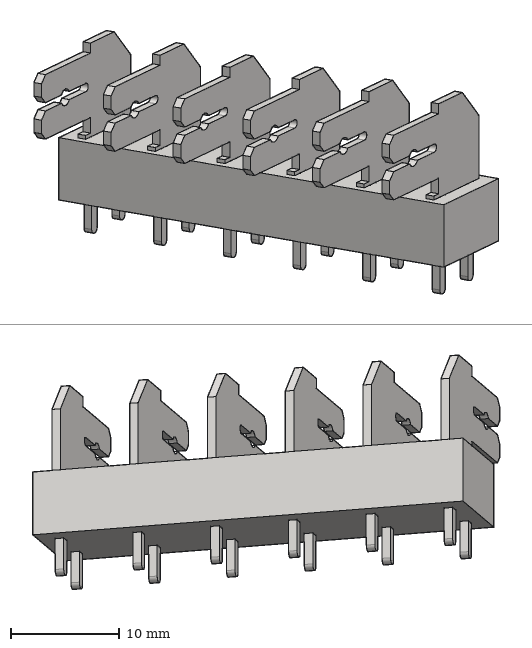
import cadquery as cq


HOUSING_LENGTH = 41.5
HOUSING_DEPTH = 9.8
HOUSING_HEIGHT = 6.0

CONTACT_COUNT = 6
CONTACT_THICKNESS = 0.85
ROW_SPAN = 37.5
CONTACT_PITCH = ROW_SPAN / (CONTACT_COUNT - 1)

OVERALL_DEPTH = 16.85
OVERALL_HEIGHT = 18.5
FORK_TIP_Y = HOUSING_DEPTH - OVERALL_DEPTH

BLADE_SETBACK = 0.87
BLADE_BACK_Y = HOUSING_DEPTH - BLADE_SETBACK
BLADE_DEPTH = 7.22
BLADE_FRONT_Y = BLADE_BACK_Y - BLADE_DEPTH
BLADE_HEIGHT = 9.05
BLADE_TOP_Z = HOUSING_HEIGHT + BLADE_HEIGHT
BLADE_CHAMFER = 3.0

FOOT_LENGTH = 0.87
FOOT_HEIGHT = 0.37

FORK_STEP = 0.95
FORK_TOP_Z = BLADE_TOP_Z - FORK_STEP
FORK_HEIGHT = 6.22
FORK_BOTTOM_Z = FORK_TOP_Z - FORK_HEIGHT
FORK_MID_Z = (FORK_TOP_Z + FORK_BOTTOM_Z) / 2
SLOT_WIDTH = 0.8
SLOT_END_SETBACK = 0.4
SLOT_END_Y = BLADE_FRONT_Y - SLOT_END_SETBACK
SLOT_RADIUS = SLOT_WIDTH / 2
SLOT_HOLE_DIAMETER = 1.58
SLOT_HOLE_Y = -2.8
PRONG_CHAMFER = 0.7

TAIL_WIDTH = 1.0
TAIL_SPACING = 5.0
FRONT_TAIL_Y = 2.4
TAIL_YS = (FRONT_TAIL_Y, FRONT_TAIL_Y + TAIL_SPACING)
TAIL_TIP_Z = BLADE_TOP_Z - OVERALL_HEIGHT
TAIL_RADIUS = TAIL_WIDTH / 2


def contact_plane(x):
    """YZ sketch plane on the -X face of the contact centred at x."""
    return cq.Workplane("YZ", origin=(x - CONTACT_THICKNESS / 2, 0, 0))


def make_blade(x):
    """Upright blade with a chamfered back corner and a low foot in front."""
    foot_top_z = HOUSING_HEIGHT + FOOT_HEIGHT
    foot_front_y = BLADE_FRONT_Y - FOOT_LENGTH
    outline = [
        (BLADE_BACK_Y, HOUSING_HEIGHT),
        (BLADE_BACK_Y, BLADE_TOP_Z - BLADE_CHAMFER),
        (BLADE_BACK_Y - BLADE_CHAMFER, BLADE_TOP_Z),
        (BLADE_FRONT_Y, BLADE_TOP_Z),
        (BLADE_FRONT_Y, foot_top_z),
        (foot_front_y, foot_top_z),
        (foot_front_y, HOUSING_HEIGHT),
    ]
    return contact_plane(x).polyline(outline).close().extrude(CONTACT_THICKNESS)


def make_fork(x):
    """Fork blank reaching forward from the blade, with chamfered outer tip corners."""
    outline = [
        (BLADE_FRONT_Y, FORK_BOTTOM_Z),
        (FORK_TIP_Y + PRONG_CHAMFER, FORK_BOTTOM_Z),
        (FORK_TIP_Y, FORK_BOTTOM_Z + PRONG_CHAMFER),
        (FORK_TIP_Y, FORK_TOP_Z - PRONG_CHAMFER),
        (FORK_TIP_Y + PRONG_CHAMFER, FORK_TOP_Z),
        (BLADE_FRONT_Y, FORK_TOP_Z),
    ]
    return contact_plane(x).polyline(outline).close().extrude(CONTACT_THICKNESS)


def make_slot(x):
    """Slot between the prongs: flared mouth, round hole part-way and rounded inner end."""
    slot_top_z = FORK_MID_Z + SLOT_RADIUS
    slot_bottom_z = FORK_MID_Z - SLOT_RADIUS
    arc_start_y = SLOT_END_Y - SLOT_RADIUS
    channel = (
        contact_plane(x)
        .moveTo(FORK_TIP_Y, slot_bottom_z - PRONG_CHAMFER)
        .lineTo(FORK_TIP_Y + PRONG_CHAMFER, slot_bottom_z)
        .lineTo(arc_start_y, slot_bottom_z)
        .threePointArc((SLOT_END_Y, FORK_MID_Z), (arc_start_y, slot_top_z))
        .lineTo(FORK_TIP_Y + PRONG_CHAMFER, slot_top_z)
        .lineTo(FORK_TIP_Y, slot_top_z + PRONG_CHAMFER)
        .close()
        .extrude(CONTACT_THICKNESS)
    )
    hole = (
        contact_plane(x)
        .center(SLOT_HOLE_Y, FORK_MID_Z)
        .circle(SLOT_HOLE_DIAMETER / 2)
        .extrude(CONTACT_THICKNESS)
    )
    return channel.union(hole)


def make_tail(x, y):
    """Solder tail with a full-round tip."""
    return (
        contact_plane(x)
        .moveTo(y + TAIL_RADIUS, HOUSING_HEIGHT)
        .lineTo(y + TAIL_RADIUS, TAIL_TIP_Z + TAIL_RADIUS)
        .threePointArc((y, TAIL_TIP_Z), (y - TAIL_RADIUS, TAIL_TIP_Z + TAIL_RADIUS))
        .lineTo(y - TAIL_RADIUS, HOUSING_HEIGHT)
        .close()
        .extrude(CONTACT_THICKNESS)
    )


def make_contact(x):
    """Complete flat contact centred at x."""
    contact = make_blade(x).union(make_fork(x))
    for y in TAIL_YS:
        contact = contact.union(make_tail(x, y))
    return contact.cut(make_slot(x))


def make_housing(contact_xs):
    """Plain bar with a close-fitting rectangular hole for every solder tail."""
    tail_points = [(x, y) for x in contact_xs for y in TAIL_YS]
    bar = cq.Workplane("XY").box(
        HOUSING_LENGTH, HOUSING_DEPTH, HOUSING_HEIGHT, centered=(True, False, False)
    )
    tail_holes = (
        cq.Workplane("XY")
        .pushPoints(tail_points)
        .rect(CONTACT_THICKNESS, TAIL_WIDTH)
        .extrude(HOUSING_HEIGHT)
    )
    return bar.cut(tail_holes)


contact_xs = [i * CONTACT_PITCH - ROW_SPAN / 2 for i in range(CONTACT_COUNT)]
housing = make_housing(contact_xs)
contacts = [make_contact(x) for x in contact_xs]

result = cq.Compound.makeCompound([housing.val(), *[contact.val() for contact in contacts]])